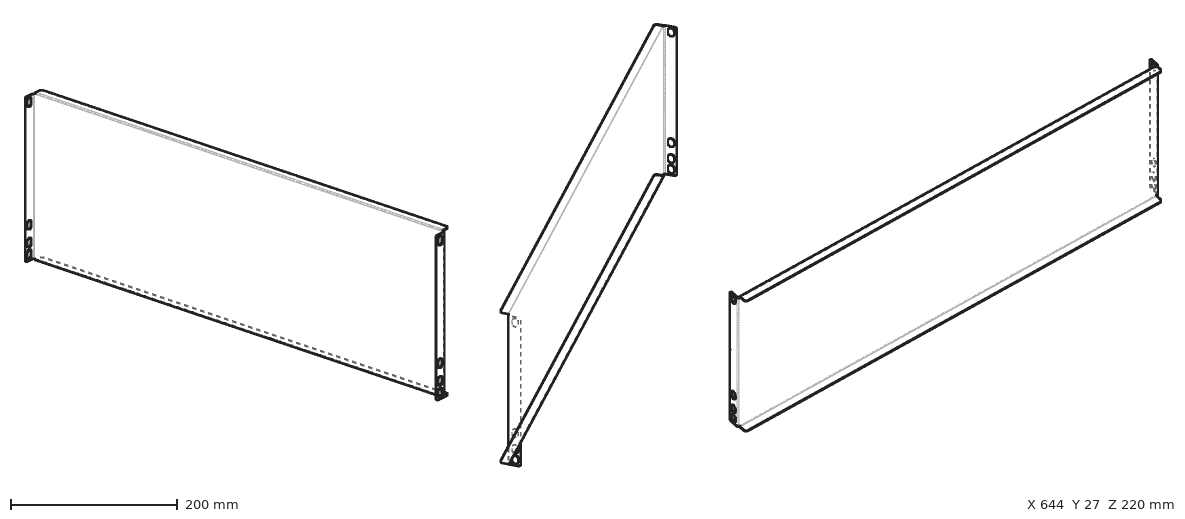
import cadquery as cq

LENGTH = 644.0
DEPTH = 27.0
HEIGHT = 220.0

SHEET = 1.5
BEND_OUTER = 2.0
BEND_INNER = BEND_OUTER - SHEET
BACK_FLANGE = 12.0
BACK_RELIEF = 3.0
SIDE_RELIEF = 2.0
BACK_CORNER = 4.0
SIDE_CORNER = 2.0

SLOT_WIDTH = 8.0
SLOT_HEIGHT = 12.0
SLOT_SETBACK = 7.0
END_SLOT = 10.0
SLOT_HEIGHTS = (END_SLOT, 26.0, 49.0, HEIGHT - END_SLOT)

FRONT = -DEPTH / 2
BACK = DEPTH / 2
PANEL_FRONT = BACK - BACK_FLANGE
PANEL_BACK = PANEL_FRONT + SHEET


def bent_channel(length, width, height, bend_axis):
    """Centred U channel with its web at the bottom and its flanges pointing up."""
    outer = cq.Workplane("XY").box(length, width, height, centered=(True, True, False))
    outer = outer.edges(f"|{bend_axis} and <Z").fillet(BEND_OUTER)
    across_x = bend_axis == "Y"
    inner = cq.Workplane("XY").box(
        length - 2 * SHEET if across_x else length,
        width if across_x else width - 2 * SHEET,
        height,
        centered=(True, True, False),
    )
    inner = inner.translate((0, 0, SHEET))
    inner = inner.edges(f"|{bend_axis} and <Z").fillet(BEND_INNER)
    return outer.cut(inner)


def panel_with_back_flanges():
    channel = bent_channel(LENGTH - 2 * BACK_RELIEF, HEIGHT, BACK_FLANGE, "X")
    channel = channel.rotate((0, 0, 0), (1, 0, 0), -90)
    channel = channel.translate((0, PANEL_FRONT, 0))
    return channel.edges("|Z and >Y").fillet(BACK_CORNER)


def panel_with_side_flanges():
    channel = bent_channel(LENGTH, HEIGHT - 2 * SIDE_RELIEF, PANEL_BACK - FRONT, "Y")
    channel = channel.rotate((0, 0, 0), (1, 0, 0), 90)
    channel = channel.translate((0, PANEL_BACK, 0))
    return channel.edges("|X and <Y").chamfer(SIDE_CORNER)


def side_slots():
    centres = [(FRONT + SLOT_SETBACK, z - HEIGHT / 2) for z in SLOT_HEIGHTS]
    return (
        cq.Workplane("YZ")
        .pushPoints(centres)
        .slot2D(SLOT_HEIGHT, SLOT_WIDTH, 90)
        .extrude(LENGTH, both=True)
    )


result = panel_with_back_flanges().union(panel_with_side_flanges()).cut(side_slots())